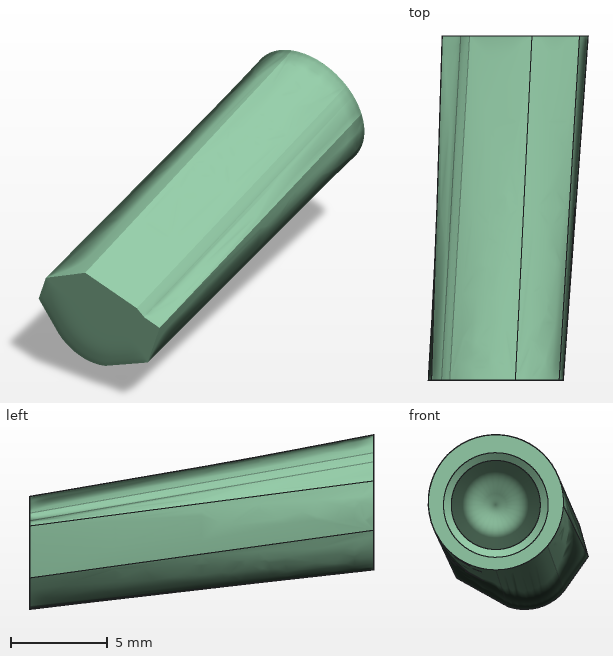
import cadquery as cq
import math

LENGTH = 17.79
ROUND_RADIUS = 3.495
BORE_DIAMETER = 4.6
BORE_MOUTH_DIAMETER = 5.4
BORE_DROP = 0.15
MOUTH_DEPTH = 0.41
BORE_DEPTH = 4.98
TIP_ANGLE = 118.0

CORNERS = [
    (1.87, 0.3, 73.2),
    (-1.35, -0.57, 132.9),
    (-1.81, -0.96, 143.3),
    (-2.78, -1.23, 161.6),
    (-2.03, -3.91, 204.4),
    (0.62, -5.39, 270.0),
    (3.52, -4.59, 320.0),
    (4.777, -2.81, 357.0),
    (4.32, -1.2, 380.6),
]
KEEL_START = 5
KEEL_LOW_POINT = (1.53, -5.542)


def round_end_point(angle):
    radians = math.radians(angle)
    return cq.Vector(ROUND_RADIUS * math.cos(radians), 0, ROUND_RADIUS * math.sin(radians))


def faceted_end_point(x, z):
    return cq.Vector(x, LENGTH, z)


def make_body():
    """Join each arc of the round end to its edge of the faceted end by a ruled face."""
    round_edges = []
    faceted_edges = []
    for index, (x, z, angle) in enumerate(CORNERS):
        next_x, next_z, next_angle = CORNERS[(index + 1) % len(CORNERS)]
        if next_angle < angle:
            next_angle += 360
        round_edges.append(cq.Edge.makeThreePointArc(
            round_end_point(angle),
            round_end_point((angle + next_angle) / 2),
            round_end_point(next_angle),
        ))
        start = faceted_end_point(x, z)
        end = faceted_end_point(next_x, next_z)
        if index == KEEL_START:
            edge = cq.Edge.makeThreePointArc(start, faceted_end_point(*KEEL_LOW_POINT), end)
        else:
            edge = cq.Edge.makeLine(start, end)
        faceted_edges.append(edge)

    faces = [cq.Face.makeRuledSurface(a, b) for a, b in zip(round_edges, faceted_edges)]
    for edges in (round_edges, faceted_edges):
        faces.append(cq.Face.makeFromWires(cq.Wire.assembleEdges(edges)))
    return cq.Workplane(cq.Solid.makeSolid(cq.Shell.makeShell(faces)).fix())


def make_bore():
    """Blind drilled bore with a conical mouth and a conical tip."""
    bore_radius = BORE_DIAMETER / 2
    tip_depth = BORE_DEPTH + bore_radius / math.tan(math.radians(TIP_ANGLE / 2))
    return (
        cq.Workplane("XY")
        .polyline([
            (0, 0),
            (BORE_MOUTH_DIAMETER / 2, 0),
            (bore_radius, MOUTH_DEPTH),
            (bore_radius, BORE_DEPTH),
            (0, tip_depth),
        ])
        .close()
        .revolve(360, (0, 0, 0), (0, 1, 0))
        .translate((0, 0, -BORE_DROP))
    )


result = make_body().cut(make_bore())